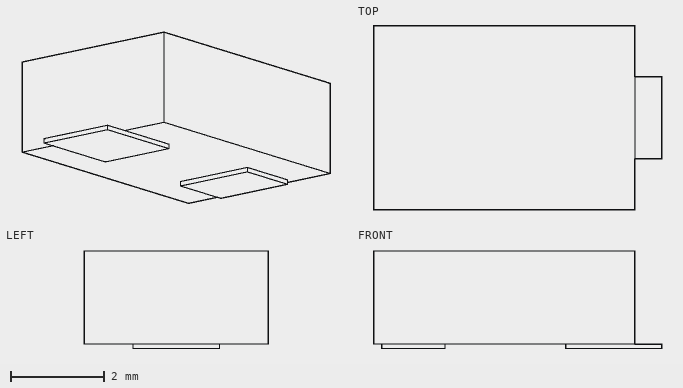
import cadquery as cq

total_length = 6.18
total_height = 2.1

body_length = 5.6
body_width = 3.95

terminal_thickness = 0.1
pad_length = 1.36
pad_width = 1.86
pad_inset = 0.17
tab_length = 2.065
tab_width = 1.77

body_height = total_height - terminal_thickness
body_start = -body_length / 2
tab_end = body_start + total_length


def make_block(start_x, start_z, length, width, height):
    """Rectangular block centred on Y, starting at the given X and Z."""
    return cq.Workplane("XY").box(length, width, height, centered=(False, True, False)).translate(
        (start_x, 0, start_z)
    )


housing = make_block(body_start, terminal_thickness, body_length, body_width, body_height)

contact_pad = make_block(body_start + pad_inset, 0, pad_length, pad_width, terminal_thickness)

terminal_tab = make_block(tab_end - tab_length, 0, tab_length, tab_width, terminal_thickness)

result = cq.Compound.makeCompound([housing.val(), contact_pad.val(), terminal_tab.val()])